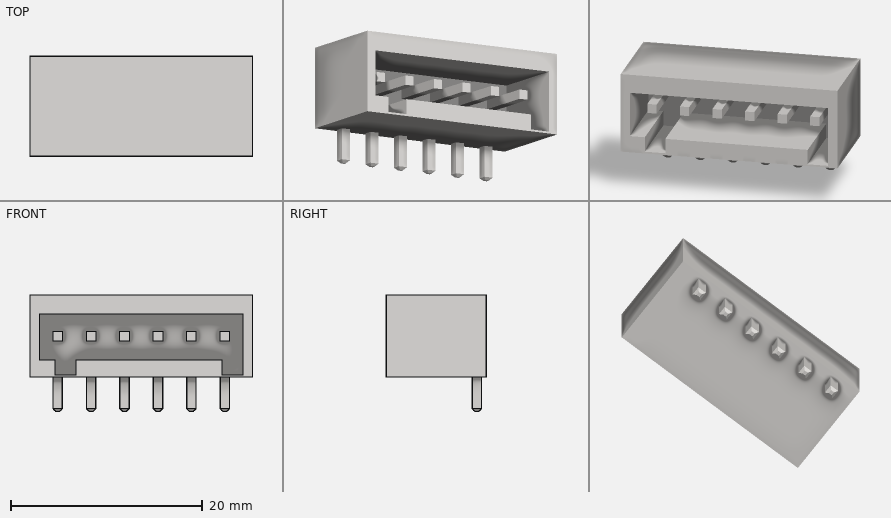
import cadquery as cq

length = 23.3
depth = 10.5
height = 8.6

side_wall = 1.0
top_wall = 2.0
back_wall = 2.0
floor_thickness = 1.8

slot_width = 2.2
slot_floor_thickness = 0.2
left_slot_inset = 1.6

pin_count = 6
pin_pitch = 3.5
pin_width = 1.0
pin_height = height / 2
pin_tip_recess = 2.0
pin_back_inset = 0.5
tail_length = 3.6
tail_chamfer = 0.3

cavity_length = length - 2 * side_wall
cavity_depth = depth - back_wall


def box(x_min, y_min, z_min, x_size, y_size, z_size):
    """Box placed by its lowest corner."""
    return cq.Workplane("XY").box(x_size, y_size, z_size, centered=False).translate((x_min, y_min, z_min))


def make_housing():
    """Block hollowed from the mouth, with two slots in the cavity floor."""
    cavity_left = -cavity_length / 2
    cavity_right = cavity_length / 2
    cavity_height = height - top_wall - floor_thickness
    slot_height = floor_thickness - slot_floor_thickness

    housing = box(-length / 2, 0, 0, length, depth, height)
    housing = housing.cut(box(cavity_left, 0, floor_thickness, cavity_length, cavity_depth, cavity_height))
    for slot_left in (cavity_left + left_slot_inset, cavity_right - slot_width):
        housing = housing.cut(
            box(slot_left, 0, slot_floor_thickness, slot_width, cavity_depth, slot_height)
        )
    return housing


def make_pin(x_center):
    """L-shaped square pin with a tapered solder tail."""
    x_min = x_center - pin_width / 2
    leg_back = depth - pin_back_inset
    leg_top = pin_height + pin_width / 2

    tail = box(x_min, leg_back - pin_width, -tail_length, pin_width, pin_width, leg_top + tail_length)
    tail = tail.faces("<Z").chamfer(tail_chamfer)
    contact = box(
        x_min, pin_tip_recess, leg_top - pin_width, pin_width, leg_back - pin_tip_recess, pin_width
    )
    return tail.union(contact)


result = make_housing()
for index in range(pin_count):
    pin_x = (index - (pin_count - 1) / 2) * pin_pitch
    result = result.union(make_pin(pin_x))